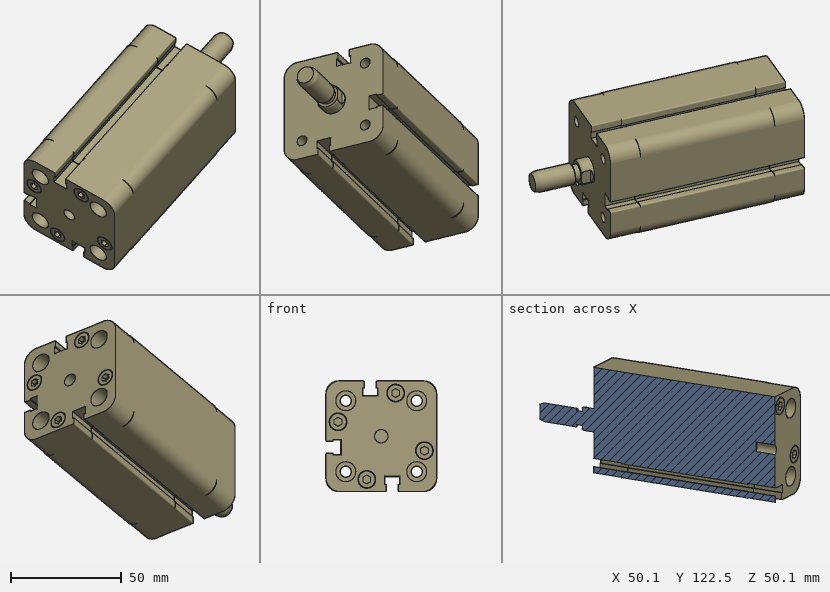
import cadquery as cq
import math


body_width = 50.1
half_width = body_width / 2
body_length = 94.5
cap_length = 14.55
tube_length = body_length - 2 * cap_length
corner_size = 6.0
tube_corner_radius = corner_size
cap_corner_radius = 6.8

slot_offset = 5.0
slot_count = 3
slot_opening = 6.6
slot_lip_depth = 3.3
tube_slot = {"neck": 5.2, "width": 6.6, "depth": 6.6}
cap_slot = {"neck": 5.7, "width": 7.0, "depth": 7.0}
cut_margin = 1.0

mount_pitch = 32.0
mount_hole_diameter = 4.92
mount_bore_diameter = 9.0
mount_bore_depth = 10.0

center_hole_diameter = 6.0
center_hole_depth = 10.0

screw_near_offset = 6.5
screw_far_offset = 19.5
screw_bore_diameter = 8.0
screw_head_diameter = 7.5
screw_head_height = 5.0
hex_across_flats = 3.5
hex_depth = 2.5

rod_length = 28.0
collar_diameter = 12.0
collar_length = 6.0
collar_end_diameter = 10.8
collar_round_length = 1.4
across_flats = 10.0
flat_start = 1.6
neck_diameter = 8.0
neck_length = 2.7
thread_diameter = 10.0
thread_chamfer = 0.3
tip_diameter = 8.2
tip_bulge = 0.1
tip_length = 2.6


def prism(profile, start, length):
    """Place an extrusion of an XZ profile from Y = start toward +Y."""
    return profile.extrude(-length).translate((0, start, 0))


def rounded_square(corner_radius):
    """Square outline whose corners are arcs ending corner_size from the corner."""
    flat = half_width - corner_size
    chord = corner_size * math.sqrt(2)
    sagitta = corner_radius - math.sqrt(corner_radius**2 - (chord / 2) ** 2)
    middle = half_width - corner_size / 2 + sagitta / math.sqrt(2)
    return (
        cq.Workplane("XZ")
        .moveTo(-flat, half_width)
        .lineTo(flat, half_width)
        .threePointArc((middle, middle), (half_width, flat))
        .lineTo(half_width, -flat)
        .threePointArc((middle, -middle), (flat, -half_width))
        .lineTo(-flat, -half_width)
        .threePointArc((-middle, -middle), (-half_width, -flat))
        .lineTo(-half_width, flat)
        .threePointArc((-middle, middle), (-flat, half_width))
        .close()
    )


def slot_profile(neck, width, depth):
    """T-slot outline in the top face, with rounded lips."""
    lip_radius = (slot_opening - neck) / 2
    lip_middle = lip_radius * (1 - math.sqrt(0.5))
    lip_middle_height = half_width - lip_middle
    lip_end = half_width - lip_radius
    above = half_width + cut_margin
    under_lip = half_width - slot_lip_depth
    floor = half_width - depth
    half_open = slot_opening / 2
    half_neck = neck / 2
    half_slot = width / 2
    return (
        cq.Workplane("XZ", origin=(-slot_offset, 0, 0))
        .moveTo(-half_open, above)
        .lineTo(-half_open, half_width)
        .threePointArc((-half_neck - lip_middle, lip_middle_height), (-half_neck, lip_end))
        .lineTo(-half_neck, under_lip)
        .lineTo(-half_slot, under_lip)
        .lineTo(-half_slot, floor)
        .lineTo(half_slot, floor)
        .lineTo(half_slot, under_lip)
        .lineTo(half_neck, under_lip)
        .lineTo(half_neck, lip_end)
        .threePointArc((half_neck + lip_middle, lip_middle_height), (half_open, half_width))
        .lineTo(half_open, above)
        .close()
    )


def quarter_turn(shape, turns):
    """Turn a shape about the cylinder axis, counterclockwise seen from the front."""
    return shape.rotate((0, 0, 0), (0, 1, 0), -90 * turns)


def body_section(corner_radius, slot, start, length):
    """One length of the body with its sensor slots."""
    block = prism(rounded_square(corner_radius), start, length)
    cutter = prism(slot_profile(**slot), start, length)
    for turns in range(slot_count):
        block = block.cut(quarter_turn(cutter, turns))
    return block


def cylinder_at(x, z, diameter, length):
    """Cylinder running from the front face into the body."""
    return prism(cq.Workplane("XZ").center(x, z).circle(diameter / 2), 0, length)


def mounting_holes():
    """Through holes counterbored from the front face."""
    half = mount_pitch / 2
    cutter = cq.Workplane("XZ")
    for x in (-half, half):
        for z in (-half, half):
            cutter = cutter.add(cylinder_at(x, z, mount_hole_diameter, body_length))
            cutter = cutter.add(cylinder_at(x, z, mount_bore_diameter, mount_bore_depth))
    return cutter.combine()


def screw_gap(x, z):
    """Clearance ring around a screw head, and the hexagon socket in the head."""
    bore = cylinder_at(x, z, screw_bore_diameter, screw_head_height)
    head = cylinder_at(x, z, screw_head_diameter, screw_head_height)
    hex_across_corners = hex_across_flats / math.cos(math.pi / 6)
    hexagon = cq.Workplane("XZ").polygon(6, hex_across_corners)
    upright_socket = quarter_turn(prism(hexagon, 0, hex_depth), 1)
    return bore.cut(head).union(upright_socket.translate((x, 0, z)))


def piston_rod():
    """Turned rod with a collar, a relief neck and a threaded end."""
    neck_start = collar_length
    thread_start = neck_start + neck_length
    collar_round_start = collar_length - collar_round_length
    tip_start = rod_length - tip_length
    collar_radius = collar_diameter / 2
    neck_radius = neck_diameter / 2
    thread_radius = thread_diameter / 2
    rod = (
        cq.Workplane("XY")
        .moveTo(0, 0)
        .lineTo(collar_radius, 0)
        .lineTo(collar_radius, collar_round_start)
        .tangentArcPoint((collar_end_diameter / 2, neck_start), relative=False)
        .lineTo(neck_radius, neck_start)
        .lineTo(neck_radius, thread_start)
        .lineTo(thread_radius - thread_chamfer, thread_start)
        .lineTo(thread_radius, thread_start + thread_chamfer)
        .lineTo(thread_radius, tip_start)
        .sagittaArc((tip_diameter / 2, rod_length), -tip_bulge)
        .lineTo(0, rod_length)
        .close()
        .revolve(360, (0, 0, 0), (0, 1, 0))
    )
    return rod.cut(flat_cutter(1)).cut(flat_cutter(-1)).translate((0, body_length, 0))


def flat_cutter(side):
    """Wrench flat on the collar, running out at 45 degrees toward the body."""
    flat = across_flats / 2
    outside = collar_diameter / 2 + cut_margin
    return (
        cq.Workplane("XY")
        .moveTo(side * flat, flat_start)
        .lineTo(side * outside, flat_start - (outside - flat))
        .lineTo(side * outside, collar_length)
        .lineTo(side * flat, collar_length)
        .close()
        .extrude(collar_diameter, both=True)
    )


front_cap = body_section(cap_corner_radius, cap_slot, 0, cap_length)
tube = body_section(tube_corner_radius, tube_slot, cap_length, tube_length)
rear_cap = body_section(cap_corner_radius, cap_slot, cap_length + tube_length, cap_length)

result = front_cap.union(tube, clean=False).union(rear_cap, clean=False)
result = result.cut(mounting_holes(), clean=False)
result = result.cut(cylinder_at(0, 0, center_hole_diameter, center_hole_depth), clean=False)
for x, z in (
    (screw_near_offset, screw_far_offset),
    (screw_far_offset, -screw_near_offset),
    (-screw_near_offset, -screw_far_offset),
    (-screw_far_offset, screw_near_offset),
):
    result = result.cut(screw_gap(x, z), clean=False)
result = result.union(piston_rod(), clean=False)